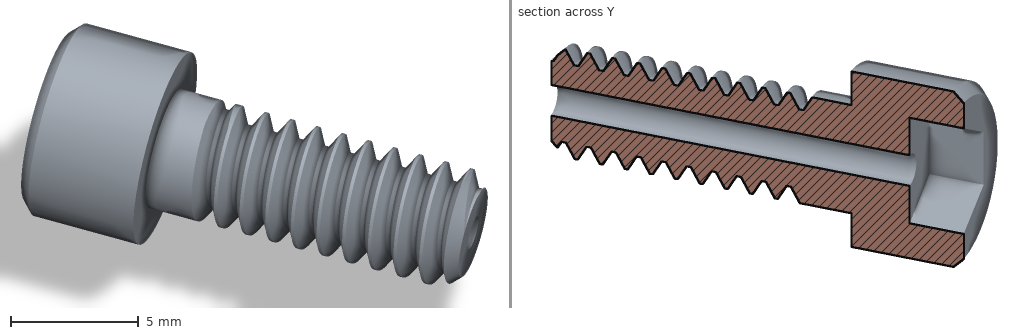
import cadquery as cq
import math


head_diameter = 7.81
head_height = 4.78
head_chamfer = 0.45
hex_across_flats = 4.04
hex_depth = 2.29

thread_diameter = 4.826
mm_per_inch = 25.4
threads_per_inch = 24
shank_length = 12.7
end_chamfer = 0.62
flank_half_angle = 30.0
thread_depth_ratio = 0.6134
full_thread_start = 2.11
full_depth_angle = 90.0
runout_turns = 1 / 3

vent_diameter = 1.34

pitch = mm_per_inch / threads_per_inch
thread_radius = thread_diameter / 2
thread_depth = thread_depth_ratio * pitch
root_radius = thread_radius - thread_depth
overall_length = head_height + shank_length
flank_slope = math.tan(math.radians(flank_half_angle))
crest_flat = pitch / 8
root_half_width = (pitch - crest_flat) / 2 - thread_depth * flank_slope

cutter_overshoot = 0.05
blank_allowance = 3.0
overrun_turns = 1
helix_points_per_turn = 24
cutter_depth = thread_depth + cutter_overshoot
cutter_half_width = root_half_width + cutter_depth * flank_slope


def make_head():
    """Cylindrical head with a chamfered outer rim and a hexagon socket, corners up and down."""
    head = cq.Workplane("YZ").circle(head_diameter / 2).extrude(head_height)
    head = head.faces("<X").chamfer(head_chamfer)
    hex_corner_diameter = hex_across_flats / math.cos(math.radians(30))
    socket = (
        cq.Workplane("YZ")
        .transformed(rotate=(0, 0, 90))
        .polygon(6, hex_corner_diameter)
        .extrude(hex_depth)
    )
    return head.cut(socket)


def shank_cylinder(length):
    """Plain cylinder of the thread diameter, starting at the underside of the head."""
    return cq.Workplane("YZ").workplane(offset=head_height).circle(thread_radius).extrude(length)


def groove_corners(root_distance, axial_position):
    """(radius, axial position) of the four corners of the groove section, in order round it."""
    mouth_distance = root_distance + cutter_depth
    return [
        (root_distance, axial_position - root_half_width),
        (root_distance, axial_position + root_half_width),
        (mouth_distance, axial_position + cutter_half_width),
        (mouth_distance, axial_position - cutter_half_width),
    ]


def helix(radius, radial_growth, start, turns, start_angle):
    """Right-handed helix about Z whose radius changes evenly by radial_growth over its length."""
    steps = math.ceil(turns * helix_points_per_turn)
    fractions = [i / steps for i in range(steps + 1)]
    points = []
    for fraction in fractions:
        angle = math.radians(start_angle + 360 * turns * fraction)
        reach = radius + radial_growth * fraction
        height = start + turns * pitch * fraction
        points.append(cq.Vector(reach * math.cos(angle), reach * math.sin(angle), height))
    return cq.Edge.makeSpline(points, parameters=fractions)


def groove_section(root_distance, axial_position, angle):
    """Flat face closing the groove cutter in the plane through Z at the given angle."""
    corners = groove_corners(root_distance, axial_position)
    wire = cq.Wire.makePolygon([cq.Vector(radius, 0, axial) for radius, axial in corners], close=True)
    face = cq.Face.makeFromWires(wire)
    return face.rotate(cq.Vector(0, 0, 0), cq.Vector(0, 0, 1), angle)


def groove_sides(root_distance, radial_growth, axial_position, turns, start_angle):
    """The four helical faces between neighbouring corners of the groove section."""
    edges = [
        helix(radius, radial_growth, axial, turns, start_angle)
        for radius, axial in groove_corners(root_distance, axial_position)
    ]
    return [cq.Face.makeRuledSurface(edges[i - 1], edges[i]) for i in range(len(edges))]


def make_groove():
    """Thread cutter that sinks to full depth over the runout and then runs past the free end."""
    sink = thread_depth + cutter_overshoot
    runout_length = runout_turns * pitch
    runout_start = head_height + full_thread_start - runout_length
    runout_angle = full_depth_angle - 360 * runout_turns

    full_start = head_height + full_thread_start
    full_turns = (overall_length - full_start) / pitch + overrun_turns
    end_angle = full_depth_angle + 360 * full_turns

    faces = [
        groove_section(root_radius + sink, runout_start, runout_angle),
        *groove_sides(root_radius + sink, -sink, runout_start, runout_turns, runout_angle),
        *groove_sides(root_radius, 0, full_start, full_turns, full_depth_angle),
        groove_section(root_radius, full_start + full_turns * pitch, end_angle),
    ]
    groove = cq.Solid.makeSolid(cq.Shell.makeShell(faces))

    return groove.rotate(cq.Vector(0, 0, 0), cq.Vector(1, 1, 1), 120)


def make_shank():
    """Threaded shank: an overlong blank is grooved, then trimmed to its chamfered end."""
    blank = shank_cylinder(shank_length + blank_allowance)
    threaded = blank.cut(cq.Workplane(make_groove()))
    envelope = shank_cylinder(shank_length).faces(">X").chamfer(end_chamfer)
    return threaded.intersect(envelope)


def make_vent():
    """Round hole through the full length of the screw."""
    return cq.Workplane("YZ").circle(vent_diameter / 2).extrude(overall_length)


result = make_head().union(make_shank()).cut(make_vent())